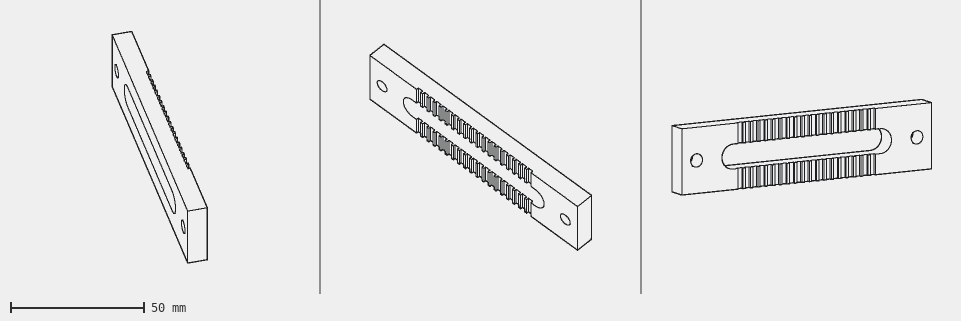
import cadquery as cq

length = 108.0
thickness = 7.7
height = 25.4

slot_length = 73.2
slot_width = 9.5

hole_diameter = 5.1
hole_spacing = 95.2

groove_count = 19
groove_width = 2.2
groove_depth = 1.0
toothed_length = 59.4
groove_pitch = (toothed_length - groove_width) / (groove_count - 1)


def make_bar():
    return cq.Workplane("XY").box(length, thickness, height)


def cut_slot_and_holes(body):
    body = body.faces("<Y").workplane(origin=(0, 0, 0)).slot2D(slot_length, slot_width).cutThruAll()
    holes = body.faces("<Y").workplane(origin=(0, 0, 0)).rarray(hole_spacing, 1.1, 2, 1)
    return holes.hole(hole_diameter)


def cut_grooves(body):
    """Cut square grooves across the full height of the +Y face."""
    groove_y = (thickness - groove_depth) / 2
    grooves = (
        cq.Workplane("XY")
        .center(0, groove_y)
        .rarray(groove_pitch, 1.1, groove_count, 1)
        .rect(groove_width, groove_depth)
        .extrude(height / 2, both=True)
    )
    return body.cut(grooves)


result = cut_grooves(cut_slot_and_holes(make_bar()))